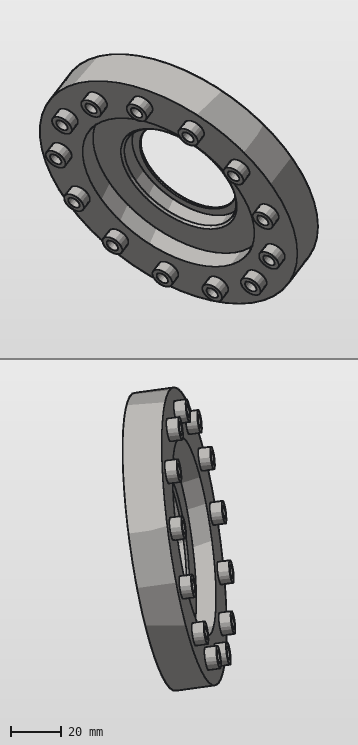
import cadquery as cq
import math

DISC_DIAMETER = 120.0
DISC_THICKNESS = 16.0

RECESS_DIAMETER = 80.0
RECESS_DEPTH = 8.0
SEAT_DIAMETER = 52.0
SEAT_DEPTH = 7.0
SEAT_CHAMFER = 1.0
BORE_DIAMETER = 45.0

BOSS_COUNT = 13
BOSS_CIRCLE_DIAMETER = 100.0
BOSS_DIAMETER = 9.2
BOSS_HEIGHT = 4.8
BOSS_ROOT_DEPTH = 2.0
BOSS_HOLE_DIAMETER = 5.3
FIRST_BOSS_ANGLE = -90.0

SEAT_FLOOR = RECESS_DEPTH + SEAT_DEPTH


def make_disc():
    """Revolve the stepped half section, drawn as (radius, Y), about the Y axis."""
    outer_radius = DISC_DIAMETER / 2
    recess_radius = RECESS_DIAMETER / 2
    seat_radius = SEAT_DIAMETER / 2
    bore_radius = BORE_DIAMETER / 2
    section = [
        (outer_radius, 0),
        (outer_radius, DISC_THICKNESS),
        (bore_radius, DISC_THICKNESS),
        (bore_radius, SEAT_FLOOR),
        (seat_radius, SEAT_FLOOR),
        (seat_radius, RECESS_DEPTH + SEAT_CHAMFER),
        (seat_radius + SEAT_CHAMFER, RECESS_DEPTH),
        (recess_radius, RECESS_DEPTH),
        (recess_radius, 0),
    ]
    return cq.Workplane("XY").polyline(section).close().revolve(360, (0, 0, 0), (0, 1, 0))


def boss_centers():
    """Return the (X, Z) centres of the bosses, evenly spaced round their circle."""
    radius = BOSS_CIRCLE_DIAMETER / 2
    centers = []
    for index in range(BOSS_COUNT):
        angle = math.radians(FIRST_BOSS_ANGLE + index * 360 / BOSS_COUNT)
        centers.append((radius * math.cos(angle), radius * math.sin(angle)))
    return centers


def cylinders_along_y(centers, diameter, start, end):
    """Make one cylinder per (X, Z) centre, running from Y = start to Y = end."""
    plane = cq.Workplane("XZ", origin=(0, end, 0))
    return plane.pushPoints(centers).circle(diameter / 2).extrude(end - start)


def add_bosses(body):
    """Stand the bosses on the front face and drill each one through the disc."""
    centers = boss_centers()
    bosses = cylinders_along_y(centers, BOSS_DIAMETER, -BOSS_HEIGHT, BOSS_ROOT_DEPTH)
    holes = cylinders_along_y(centers, BOSS_HOLE_DIAMETER, -BOSS_HEIGHT, DISC_THICKNESS)
    return body.union(bosses).cut(holes)


result = add_bosses(make_disc())